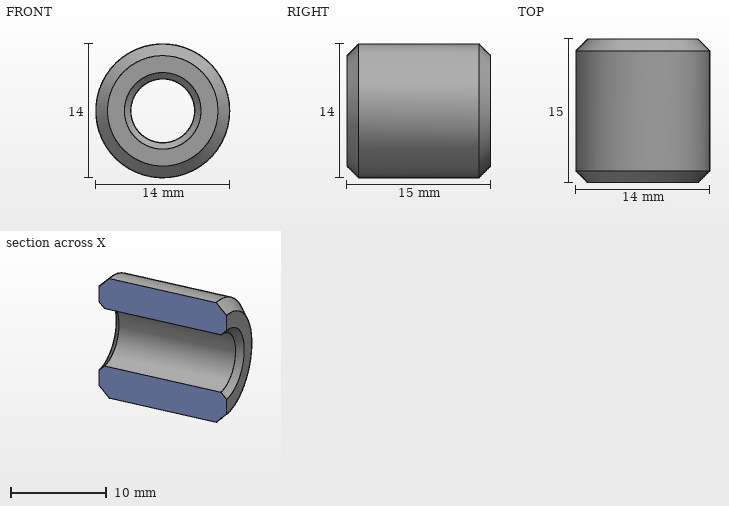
import cadquery as cq

length = 15.0
outer_diameter = 14.0
outer_chamfer = 1.23
bore_diameter = 6.65
countersink_diameter = 8.0

bore_chamfer = (countersink_diameter - bore_diameter) / 2

body = (
    cq.Workplane("XZ", origin=(0, length / 2, 0))
    .circle(outer_diameter / 2)
    .extrude(length)
    .faces("<Y or >Y")
    .edges()
    .chamfer(outer_chamfer)
)

sleeve = body.faces("<Y").workplane(centerOption="CenterOfBoundBox").hole(bore_diameter)
result = sleeve.faces("<Y or >Y").edges(cq.selectors.RadiusNthSelector(0)).chamfer(bore_chamfer)